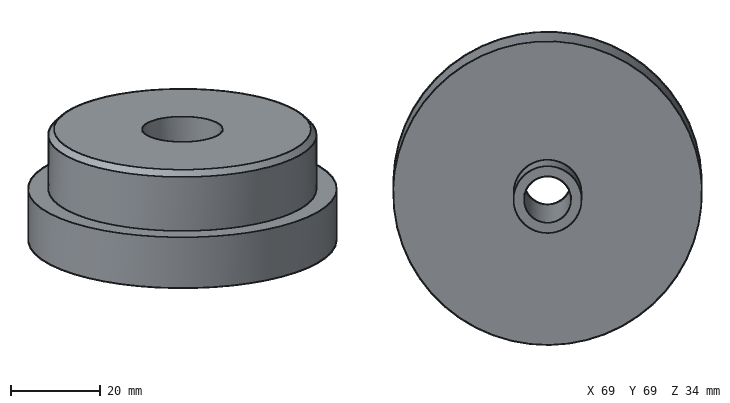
import cadquery as cq

flange_diameter = 69.0
flange_height = 12.0

body_diameter = 60.0
body_height = 14.0
body_chamfer = 1.3

spigot_diameter = 15.2
spigot_length = 8.0

through_hole_diameter = 10.5
counterbore_diameter = 18.0
counterbore_depth = 11.0

top_z = flange_height + body_height


def cylinder(diameter, bottom_z, height):
    """Cylinder on the Z axis, rising from bottom_z."""
    return cq.Workplane("XY").workplane(offset=bottom_z).circle(diameter / 2).extrude(height)


flange = cylinder(flange_diameter, 0, flange_height)
body = cylinder(body_diameter, flange_height, body_height).faces(">Z").edges().chamfer(body_chamfer)
spigot = cylinder(spigot_diameter, -spigot_length, spigot_length)

through_hole = cylinder(through_hole_diameter, -spigot_length, spigot_length + top_z)
counterbore = cylinder(counterbore_diameter, top_z - counterbore_depth, counterbore_depth)

result = flange.union(body).union(spigot).cut(through_hole).cut(counterbore)